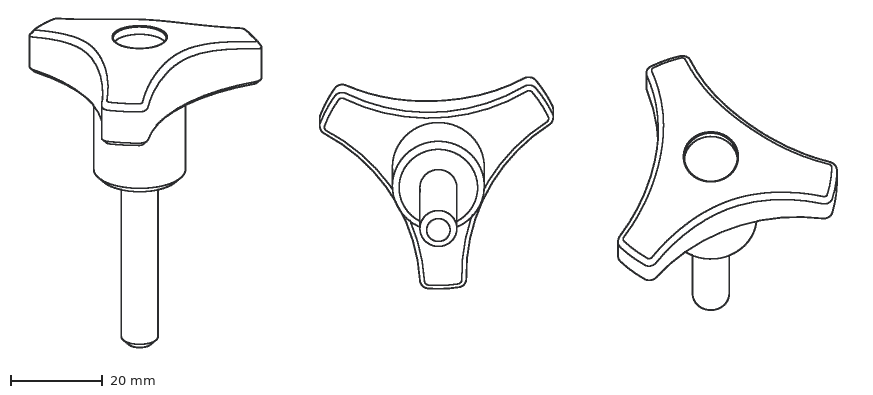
import cadquery as cq

total_height = 73.0
knob_bottom = 59.05
hub_bottom = 39.9

rod_diameter = 8.0
hub_diameter = 20.0
turned_chamfer = 1.45

arm_count = 3
arm_reach = 27.45
waist_radius = 12.05
side_arc_radius = 40.0
corner_radius = 2.0
bottom_chamfer = 1.0
top_chamfer = 1.2

flat_radius = 7.5
cone_drop = 4.3
recess_diameter = 11.5
recess_rim_chamfer = 0.2
recess_depth = 2.0


def make_shaft():
    """Rod and hub on one axis, each with a chamfered lower rim."""
    rod = cq.Workplane("XY").circle(rod_diameter / 2).extrude(knob_bottom)
    rod = rod.faces("<Z").chamfer(turned_chamfer)
    hub = cq.Workplane("XY").workplane(offset=hub_bottom)
    hub = hub.circle(hub_diameter / 2).extrude(knob_bottom - hub_bottom)
    hub = hub.faces("<Z").chamfer(turned_chamfer)
    return rod.union(hub)


def make_knob():
    """Round blank with a conical top, scooped between the arms."""
    blank = (
        cq.Workplane("XZ")
        .moveTo(0, knob_bottom)
        .lineTo(arm_reach, knob_bottom)
        .lineTo(arm_reach, total_height - cone_drop)
        .lineTo(flat_radius, total_height)
        .lineTo(0, total_height)
        .close()
        .revolve(360, (0, 0, 0), (0, 1, 0))
    )
    scoops = (
        cq.Workplane("XY")
        .workplane(offset=knob_bottom)
        .polarArray(waist_radius + side_arc_radius, -90, 360, arm_count)
        .circle(side_arc_radius)
        .extrude(total_height - knob_bottom)
    )
    knob = blank.cut(scoops)
    knob = knob.edges("|Z").fillet(corner_radius)
    top_rim = knob.faces("%CONE").edges("not (%LINE or >Z)").vals()
    knob = knob.newObject(top_rim).chamfer(top_chamfer)
    return knob.faces("<Z").chamfer(bottom_chamfer)


def make_recess():
    """Cylindrical plug, flared at the top to break the recess rim."""
    half_profile = (
        cq.Workplane("XZ")
        .moveTo(0, total_height - recess_depth)
        .lineTo(recess_diameter / 2, total_height - recess_depth)
        .lineTo(recess_diameter / 2, total_height - recess_rim_chamfer)
        .lineTo(recess_diameter / 2 + recess_rim_chamfer, total_height)
        .lineTo(0, total_height)
        .close()
    )
    return half_profile.revolve(360, (0, 0, 0), (0, 1, 0))


result = make_shaft().union(make_knob()).cut(make_recess())